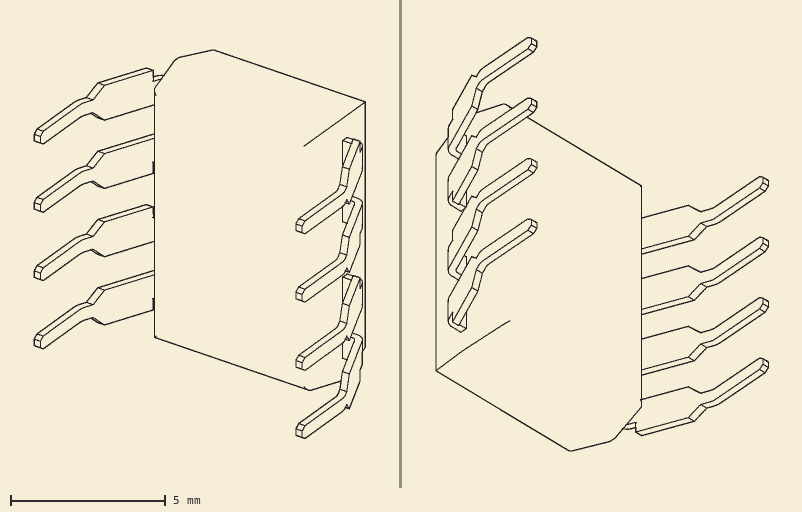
import cadquery as cq
import math


body_width = 6.6
body_length = 9.76
body_depth = 3.5
edge_fillet = 0.2
front_draft = 9.5
back_draft = 12.0

lead_thickness = 0.25
lead_pitch = 2.54
leads_per_row = 4
overall_width = 10.51
overall_depth = 7.02

shoulder_reach = 3.69
shoulder_radius = 0.15 + lead_thickness / 2
knee_radius = 0.55 + lead_thickness / 2
lead_lean = 23.6

lead_width = 1.3
tail_width = 0.48
notch_depth = 0.55
taper_start = 2.245
taper_end = 2.645
tip_chamfer_width = 0.12
tip_chamfer_length = 0.16

half_body = body_width / 2
half_thickness = lead_thickness / 2
half_lead = lead_width / 2
half_tail = tail_width / 2
draft_depth = (body_depth - lead_thickness) / 2


def make_body():
    """Straight band at the lead frame, drafted to both faces, with rounded face edges."""
    band = cq.Workplane("XZ", origin=(0, half_thickness, 0)).rect(body_width, body_length)
    band = band.extrude(lead_thickness)
    front = cq.Workplane("XZ", origin=(0, -half_thickness, 0)).rect(body_width, body_length)
    front = front.extrude(draft_depth, taper=front_draft)
    back = cq.Workplane("ZX", origin=(0, half_thickness, 0)).rect(body_length, body_width)
    back = back.extrude(draft_depth, taper=back_draft)
    body = band.union(front).union(back)
    return body.faces("<Y or >Y").edges().fillet(edge_fillet)


def make_bent_strip():
    """Full-width strip running out of the body, over the shoulder and down past the knee."""
    lean = math.radians(lead_lean)
    tail_x = overall_width / 2 - half_thickness
    tip_y = body_depth / 2 - overall_depth
    shoulder_end = (
        shoulder_reach + shoulder_radius * math.cos(lean),
        -shoulder_radius * (1 - math.sin(lean)),
    )
    knee_start_x = tail_x - knee_radius * (1 - math.cos(lean))
    knee_start_y = shoulder_end[1] - (knee_start_x - shoulder_end[0]) / math.tan(lean)
    knee_end_y = knee_start_y - knee_radius * math.sin(lean)
    path = (
        cq.Workplane("XY")
        .moveTo(half_body, 0)
        .lineTo(shoulder_reach, 0)
        .tangentArcPoint(shoulder_end, relative=False)
        .lineTo(knee_start_x, knee_start_y)
        .tangentArcPoint((tail_x, knee_end_y), relative=False)
        .lineTo(tail_x, tip_y)
    )
    section = cq.Workplane("YZ", origin=(half_body, 0, 0)).rect(lead_thickness, lead_width)
    return section.sweep(path)


def make_lead():
    """Lead on the +X side at Z = 0, notched at its +Z edge."""
    back_y = half_thickness
    tip_y = body_depth / 2 - overall_depth
    half_tip = half_tail - tip_chamfer_width
    outline = [
        (back_y, half_tail),
        (back_y - notch_depth, half_tail),
        (back_y - notch_depth, half_lead),
        (back_y - taper_start, half_lead),
        (back_y - taper_end, half_tail),
        (tip_y + tip_chamfer_length, half_tail),
        (tip_y, half_tip),
        (tip_y, -half_tip),
        (tip_y + tip_chamfer_length, -half_tail),
        (back_y - taper_end, -half_tail),
        (back_y - taper_start, -half_lead),
        (back_y, -half_lead),
    ]
    blank = cq.Workplane("YZ").polyline(outline).close().extrude(overall_width / 2)
    return make_bent_strip().intersect(blank)


def make_leads():
    """Both rows of leads; the notch alternates between the +Z and -Z edges along a row."""
    notch_up = make_lead()
    notch_down = notch_up.mirror("XY")
    leads = []
    for index in range(leads_per_row):
        z = ((leads_per_row - 1) / 2 - index) * lead_pitch
        shape = notch_up if index % 2 == 0 else notch_down
        lead = shape.translate((0, 0, z))
        leads.append(lead.val())
        leads.append(lead.mirror("YZ").val())
    return leads


body = make_body()
leads = make_leads()
result = cq.Compound.makeCompound([body.val(), *leads])